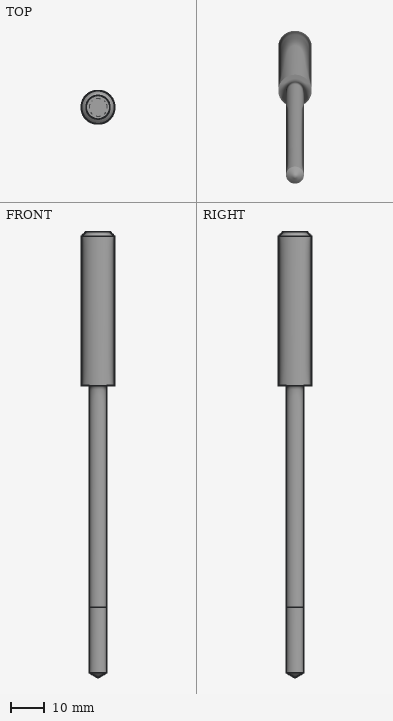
import cadquery as cq

total_length = 133.0
handle_diameter = 10.0
handle_length = 45.9
handle_chamfer = 1.5
rod_diameter = 5.3
tip_length = 21.0
point_height = 1.6

handle_bottom = total_length - handle_length


def make_holder():
    """Chamfered handle with the thin shank that reaches down to the tip."""
    handle = (
        cq.Workplane("XY")
        .workplane(offset=handle_bottom)
        .circle(handle_diameter / 2)
        .extrude(handle_length)
        .faces(">Z")
        .chamfer(handle_chamfer)
    )
    shank = (
        cq.Workplane("XY")
        .workplane(offset=tip_length)
        .circle(rod_diameter / 2)
        .extrude(handle_bottom - tip_length)
    )
    return handle.union(shank).solids()


def make_tip():
    """Round tip of the shank's diameter, ending in a conical point."""
    rod_radius = rod_diameter / 2
    return (
        cq.Workplane("XZ")
        .moveTo(0, 0)
        .lineTo(rod_radius, point_height)
        .lineTo(rod_radius, tip_length)
        .lineTo(0, tip_length)
        .close()
        .revolve(360, (0, 0, 0), (0, 1, 0))
    )


holder = make_holder()
tip = make_tip()

result = cq.Compound.makeCompound([holder.val(), tip.val()])